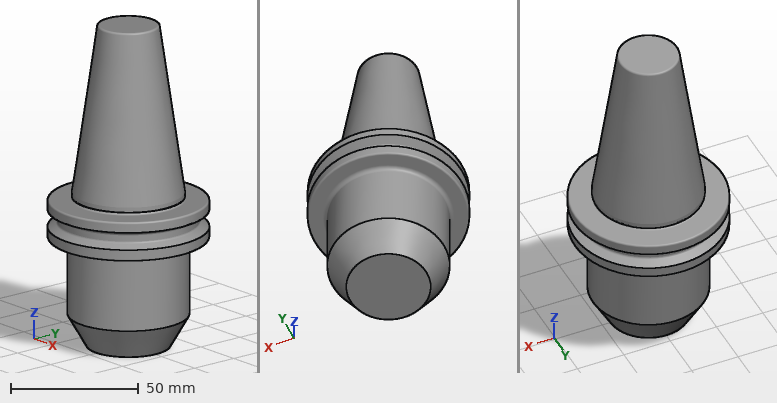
import cadquery as cq

total_height = 131.2
nose_cone_height = 13.0
flange_bottom = 44.0
flange_top = 59.8
gauge_height = 63.0
undercut_top = 60.9
groove_middle = 52.1

nose_radius = 16.5
body_radius = 24.0
flange_radius = 31.8
groove_radius = 27.8
gauge_radius = 22.2
undercut_radius = 21.7

groove_floor_width = 3.5
groove_mouth_width = 7.1

taper_per_length = 7 / 24
tip_radius = gauge_radius - (total_height - gauge_height) * taper_per_length / 2

flange_fillet = 0.8
tip_fillet = 0.9
body_fillet = 1.7
neck_fillet = 0.9
groove_fillet = 0.8


def revolve_profile(points):
    """Revolve a closed outline of (radius, height) points about Z."""
    return cq.Workplane("XZ").polyline(points).close().revolve(360, (0, 0, 0), (0, 1, 0))


def edge_at(radius, height):
    """Select the circular edge with the given radius and height."""
    margin = 0.01
    reach = radius + margin
    return cq.selectors.BoxSelector(
        (-reach, -reach, height - margin),
        (reach, reach, height + margin),
        boundingbox=True,
    )


holder = revolve_profile([
    (0, 0),
    (nose_radius, 0),
    (body_radius, nose_cone_height),
    (body_radius, flange_bottom),
    (flange_radius, flange_bottom),
    (flange_radius, flange_top),
    (undercut_radius, flange_top),
    (undercut_radius, undercut_top),
    (gauge_radius, undercut_top),
    (gauge_radius, gauge_height),
    (tip_radius, total_height),
    (0, total_height),
])

holder = holder.edges(edge_at(tip_radius, total_height)).fillet(tip_fillet)
holder = holder.edges(edge_at(body_radius, flange_bottom)).fillet(body_fillet)
holder = holder.edges(edge_at(undercut_radius, flange_top)).fillet(neck_fillet)
holder = holder.edges(cq.selectors.RadiusNthSelector(-1)).fillet(flange_fillet)

groove = revolve_profile([
    (groove_radius, groove_middle - groove_floor_width / 2),
    (flange_radius, groove_middle - groove_mouth_width / 2),
    (flange_radius, groove_middle + groove_mouth_width / 2),
    (groove_radius, groove_middle + groove_floor_width / 2),
])
groove = groove.edges(cq.selectors.RadiusNthSelector(0)).fillet(groove_fillet)

result = holder.cut(groove)